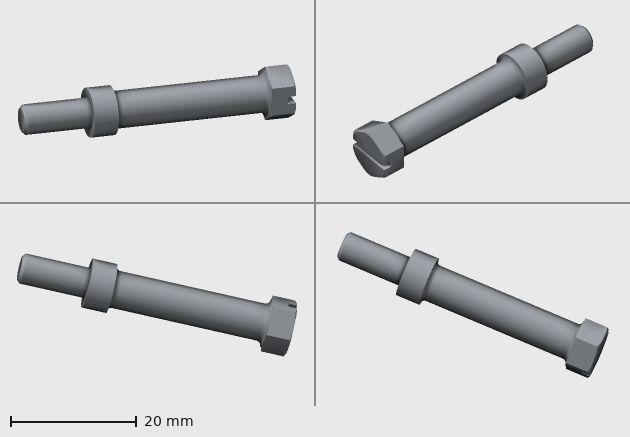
import cadquery as cq
import math

total_length = 44.4

head_corner_diameter = 9.15
head_height = 4.0
head_chamfer_height = 0.25
head_chamfer_angle = 30.0
slot_width = 1.2
slot_depth = 1.38

seat_thickness = 0.15
seat_fillet = 0.9

shank_radius = 3.0
collar_radius = 4.0
collar_length = 4.0
collar_fillet = 0.8
pin_radius = 2.45
pin_length = 11.0
pin_root_fillet = 0.2
pin_tip_chamfer = 0.5

head_base = total_length - head_height
seat_base = head_base - seat_thickness
seat_radius = shank_radius + seat_fillet
collar_top = pin_length + collar_length
head_corner_radius = head_corner_diameter / 2


def concave_arc_middle(center_x, center_y, radius, side):
    """Middle of a quarter arc facing the axis; side is +1 or -1 along Y."""
    offset = radius * math.sqrt(0.5)
    return (center_x - offset, center_y + side * offset)


def revolve_about_y(profile):
    return profile.close().revolve(360, (0, 0, 0), (0, 1, 0))


def make_turned_body():
    """Pin, collar, shank and bearing face, with concave fillets at the steps."""
    root_x = pin_radius + pin_root_fillet
    root_y = pin_length - pin_root_fillet
    collar_fillet_x = shank_radius + collar_fillet
    collar_fillet_y = collar_top + collar_fillet
    seat_fillet_y = seat_base - seat_fillet
    profile = (
        cq.Workplane("XY")
        .lineTo(pin_radius - pin_tip_chamfer, 0)
        .lineTo(pin_radius, pin_tip_chamfer)
        .lineTo(pin_radius, root_y)
        .threePointArc(concave_arc_middle(root_x, root_y, pin_root_fillet, 1), (root_x, pin_length))
        .lineTo(collar_radius, pin_length)
        .lineTo(collar_radius, collar_top)
        .lineTo(collar_fillet_x, collar_top)
        .threePointArc(
            concave_arc_middle(collar_fillet_x, collar_fillet_y, collar_fillet, -1),
            (shank_radius, collar_fillet_y),
        )
        .lineTo(shank_radius, seat_fillet_y)
        .threePointArc(
            concave_arc_middle(seat_radius, seat_fillet_y, seat_fillet, 1),
            (seat_radius, seat_base),
        )
        .lineTo(seat_radius, head_base)
        .lineTo(0, head_base)
    )
    return revolve_about_y(profile)


def make_head():
    """Hexagon with corners at +Z and -Z, a conical end chamfer and a slot along X."""
    hexagon = (
        cq.Workplane("XZ", origin=(0, head_base, 0))
        .polygon(6, head_corner_diameter)
        .extrude(-head_height)
        .rotate((0, 0, 0), (0, 1, 0), 30)
    )
    chamfer_width = head_chamfer_height / math.tan(math.radians(head_chamfer_angle))
    chamfer_envelope = revolve_about_y(
        cq.Workplane("XY")
        .moveTo(0, head_base)
        .lineTo(head_corner_radius, head_base)
        .lineTo(head_corner_radius, total_length - head_chamfer_height)
        .lineTo(head_corner_radius - chamfer_width, total_length)
        .lineTo(0, total_length)
    )
    slot = cq.Workplane("XY").box(head_corner_diameter, 2 * slot_depth, slot_width)
    slot = slot.translate((0, total_length, 0))
    return hexagon.intersect(chamfer_envelope).cut(slot)


result = make_turned_body().union(make_head())